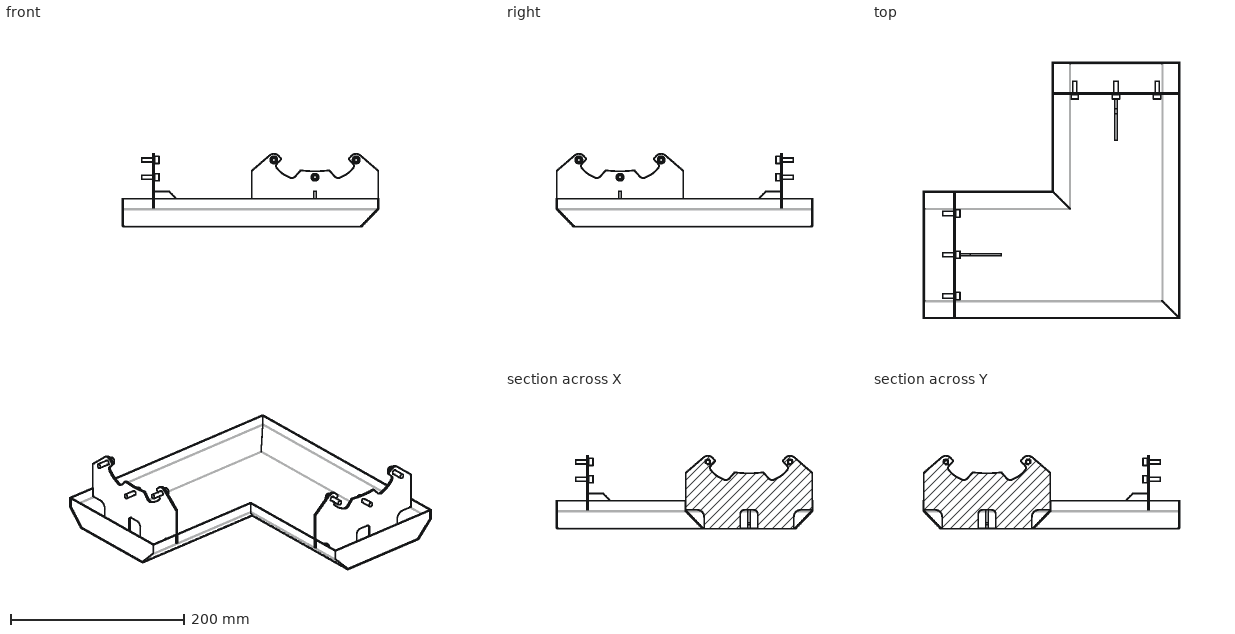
import cadquery as cq
import math

SIDE = 296.1
LEG_WIDTH = 147.0
TRAY_HEIGHT = 32.68
SHEET = 1.0
SLOPE_RUN = 20.0
SLOPE_RISE = 20.6
BEND_INSIDE = 0.8
BEND_OUTSIDE = BEND_INSIDE + SHEET
CAP_CORNER = 0.4

PLATE_DISTANCE = 35.0
PLATE_THICKNESS = 2.0
PLATE_RECESS = 0.2
PLATE_WIDTH = LEG_WIDTH - 2 * PLATE_RECESS
PLATE_TOP = 84.68
SHOULDER_HEIGHT = 64.8
EAR_OFFSET = 47.6
EAR_RADIUS = 7.2
EAR_HEIGHT = PLATE_TOP - EAR_RADIUS
EAR_TIP_OFFSET = 38.6
EAR_TIP_RADIUS = 1.5
CENTRE_SCREW_DROP = 20.0
RELIEF_HEIGHT = 22.0
RELIEF_RADIUS = 8.0
RELIEF_OFFSET = LEG_WIDTH / 2 - SLOPE_RUN - 1.5
ARCH_WIDTH = 20.0
ARCH_RADIUS = 5.0

SADDLE_NECK = (46.3, 70.6, 4.0)
SADDLE_FLANK = (38.8, 62.0, 30.0)
SADDLE_VALLEY = (25.5, 55.4, 5.5)
BRIDGE_CORNER = (16.6, 65.5, 1.0)
BRIDGE_DIP = (0.0, 64.0, 100.0)

GUSSET_THICKNESS = 2.5
GUSSET_LENGTH = 53.0
GUSSET_HEIGHT = 40.0
GUSSET_TOP_LENGTH = 17.0
GUSSET_TOE = GUSSET_HEIGHT - (GUSSET_LENGTH - GUSSET_TOP_LENGTH)
WINDOW_LENGTH = 22.3
WINDOW_HEIGHT = 23.5
WINDOW_CHAMFER = 17.5

SCREW_DIAMETER = 5.0
SCREW_LENGTH = 15.5
HEAD_DIAMETER = 8.5
HEAD_HEIGHT = 5.0
CLEARANCE_HOLE = 5.5
SOCKET_ACROSS_FLATS = 4.0
SOCKET_DEPTH = 2.5
HEAD_CHAMFER = 0.4
COLLAR_DIAMETER = 7.5
COLLAR_HEIGHT = 0.6


def rounded_outline(corners):
    """Closed outline through (x, y, radius) corners, each rounded by a tangent arc."""
    outline = None
    for i, (x, y, radius) in enumerate(corners):
        corner = cq.Vector(x, y)
        before = (cq.Vector(*corners[i - 1][:2]) - corner).normalized()
        after = (cq.Vector(*corners[(i + 1) % len(corners)][:2]) - corner).normalized()
        half_angle = before.getAngle(after) / 2
        tangent_length = radius / math.tan(half_angle)
        start = corner + before * tangent_length
        end = corner + after * tangent_length
        bisector = (before + after).normalized()
        middle = corner + bisector * (radius / math.sin(half_angle) - radius)
        if outline is None:
            outline = cq.Workplane("XY").moveTo(start.x, start.y)
        else:
            outline = outline.lineTo(start.x, start.y)
        if radius > 0:
            outline = outline.threePointArc((middle.x, middle.y), (end.x, end.y))
    return outline.close()


def leg_section(inset):
    """Section of a leg, moved inwards by inset: sloped sides below, upright sides above."""
    slope_angle = math.atan2(SLOPE_RISE, SLOPE_RUN)
    foot = LEG_WIDTH / 2 - SLOPE_RUN - inset * math.tan(slope_angle / 2)
    side = LEG_WIDTH / 2 - inset
    bend = SLOPE_RISE + inset * math.tan((math.pi / 2 - slope_angle) / 2)
    return [(-foot, inset), (foot, inset), (side, bend), (side, TRAY_HEIGHT), (-side, TRAY_HEIGHT), (-side, bend)]


def tray_volume(inset, bend_radius):
    """The L-shaped volume of the tray, moved inwards by inset, with its bends rounded."""
    leg = (
        cq.Workplane("YZ", origin=(inset, LEG_WIDTH / 2, 0))
        .polyline(leg_section(inset))
        .close()
        .extrude(SIDE - inset)
    )
    mitre = cq.Workplane("XY").polyline([(0, 0), (SIDE, 0), (0, SIDE)]).close().extrude(TRAY_HEIGHT)
    volume = both_legs(leg.intersect(mitre)).clean()
    folds = volume.edges("(|X or |Y) and (not >Z)")
    return folds.fillet(bend_radius)


def mirrored_to_other_leg(body):
    """Reflect in the diagonal through the outer corner of the L, which swaps the legs."""
    return body.mirror("XZ").rotate((0, 0, 0), (0, 0, 1), -90).translate((SIDE, SIDE, 0))


def both_legs(body):
    return body.union(mirrored_to_other_leg(body))


def make_tray():
    slot = (
        cq.Workplane("XY")
        .box(PLATE_THICKNESS, LEG_WIDTH, TRAY_HEIGHT - RELIEF_HEIGHT, centered=(False, False, False))
        .translate((PLATE_DISTANCE, 0, RELIEF_HEIGHT))
    )
    outside = tray_volume(0, BEND_OUTSIDE)
    outside = outside.faces("<X or >Y").edges("|Z").fillet(CAP_CORNER)
    return outside.cut(tray_volume(SHEET, BEND_INSIDE)).cut(both_legs(slot))


def across_leg(flat_body):
    """Stand a body drawn in XY upright across the X leg, facing +X at the plate."""
    return (
        flat_body.rotate((0, 0, 0), (1, 0, 0), 90)
        .rotate((0, 0, 0), (0, 0, 1), 90)
        .translate((PLATE_DISTANCE, LEG_WIDTH / 2, 0))
    )


def ear_apex():
    """Corner above an ear where its outer flank meets its inner edge, which falls at 45 degrees."""
    run = PLATE_WIDTH / 2 - EAR_OFFSET
    rise = EAR_HEIGHT - SHOULDER_HEIGHT
    flank_slope = math.tan(math.atan2(rise, run) + math.asin(EAR_RADIUS / math.hypot(run, rise)))
    edge_height = EAR_HEIGHT - EAR_OFFSET + EAR_RADIUS * math.sqrt(2)
    x = (SHOULDER_HEIGHT + PLATE_WIDTH / 2 * flank_slope - edge_height) / (1 + flank_slope)
    return x, x + edge_height


def make_plate():
    half = PLATE_WIDTH / 2
    apex_x, apex_z = ear_apex()
    tip = (EAR_TIP_OFFSET, apex_z - (apex_x - EAR_TIP_OFFSET), EAR_TIP_RADIUS)
    right = [
        (RELIEF_OFFSET, SHEET, 0),
        (RELIEF_OFFSET, RELIEF_HEIGHT, RELIEF_RADIUS),
        (half, RELIEF_HEIGHT, 0),
        (half, SHOULDER_HEIGHT, 0),
        (apex_x, apex_z, EAR_RADIUS),
        tip,
        SADDLE_NECK,
        SADDLE_FLANK,
        SADDLE_VALLEY,
        BRIDGE_CORNER,
    ]
    left = [(-x, z, radius) for x, z, radius in reversed(right)]
    arch = [
        (-ARCH_WIDTH / 2, SHEET, 0),
        (-ARCH_WIDTH / 2, RELIEF_HEIGHT, ARCH_RADIUS),
        (ARCH_WIDTH / 2, RELIEF_HEIGHT, ARCH_RADIUS),
        (ARCH_WIDTH / 2, SHEET, 0),
    ]
    plate = rounded_outline(right + [BRIDGE_DIP] + left + arch).extrude(PLATE_THICKNESS)
    holes = (
        cq.Workplane("XY")
        .pushPoints([(-EAR_OFFSET, EAR_HEIGHT), (EAR_OFFSET, EAR_HEIGHT)])
        .circle(CLEARANCE_HOLE / 2)
        .extrude(PLATE_THICKNESS)
    )
    return plate.cut(holes)


def make_screw():
    """Socket-head screw along Z, its collar seated on Z = 0 and its shank below the head."""
    head = (
        cq.Workplane("XY", origin=(0, 0, COLLAR_HEIGHT))
        .circle(HEAD_DIAMETER / 2)
        .extrude(HEAD_HEIGHT)
        .faces(">Z")
        .chamfer(HEAD_CHAMFER)
        .faces(">Z")
        .workplane()
        .polygon(6, SOCKET_ACROSS_FLATS / math.cos(math.pi / 6))
        .cutBlind(-SOCKET_DEPTH)
    )
    collar = cq.Workplane("XY").circle(COLLAR_DIAMETER / 2).extrude(COLLAR_HEIGHT)
    shank = (
        cq.Workplane("XY", origin=(0, 0, COLLAR_HEIGHT))
        .circle(SCREW_DIAMETER / 2)
        .extrude(-SCREW_LENGTH)
    )
    return head.union(collar).union(shank)


def make_gusset():
    window_chamfer_z = WINDOW_HEIGHT - WINDOW_CHAMFER
    outline = [
        (0, WINDOW_HEIGHT),
        (WINDOW_LENGTH - WINDOW_CHAMFER, WINDOW_HEIGHT),
        (WINDOW_LENGTH, window_chamfer_z),
        (WINDOW_LENGTH, 0),
        (GUSSET_LENGTH, 0),
        (GUSSET_LENGTH, GUSSET_TOE),
        (GUSSET_TOP_LENGTH, GUSSET_HEIGHT),
        (0, GUSSET_HEIGHT),
    ]
    return (
        cq.Workplane("XZ")
        .polyline(outline)
        .close()
        .extrude(GUSSET_THICKNESS / 2, both=True)
        .translate((PLATE_DISTANCE + PLATE_THICKNESS, LEG_WIDTH / 2, SHEET))
    )


def make_bracket():
    flat = make_plate()
    screw_places = [
        (-EAR_OFFSET, EAR_HEIGHT),
        (0, EAR_HEIGHT - CENTRE_SCREW_DROP),
        (EAR_OFFSET, EAR_HEIGHT),
    ]
    for x, z in screw_places:
        flat = flat.union(make_screw().translate((x, z, PLATE_THICKNESS)))
    return across_leg(flat).union(make_gusset())


result = make_tray().union(both_legs(make_bracket()))